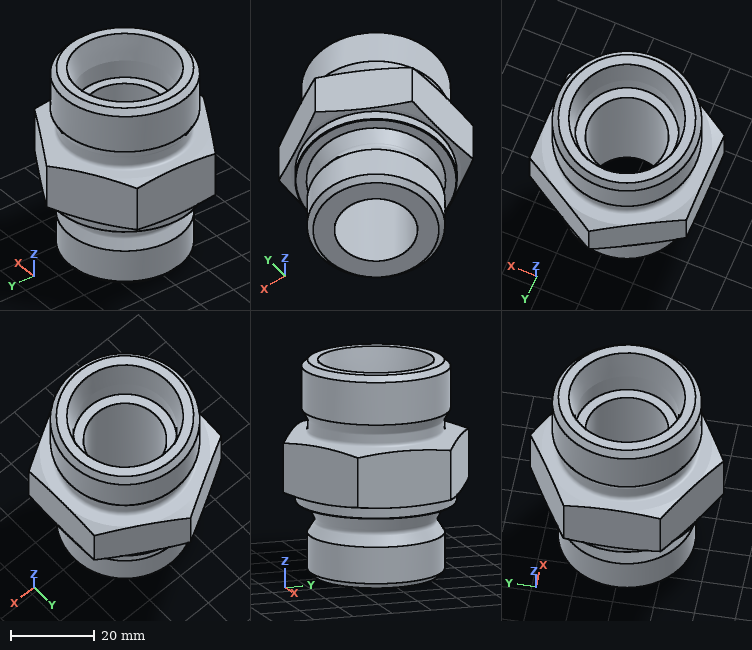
import cadquery as cq
import math

TOTAL_HEIGHT = 53.0
HEX_BOTTOM = 21.05
HEX_HEIGHT = 13.95
HEX_TOP = HEX_BOTTOM + HEX_HEIGHT

ACROSS_FLATS = 41.0
ACROSS_CORNERS = ACROSS_FLATS / math.cos(math.radians(30))
HEX_CHAMFER_ANGLE = 15.0

END_CHAMFER = 1.5
LOWER_RADIUS = 33.25 / 2
LOWER_END_TOP = 10.5
UPPER_RADIUS = 36.0 / 2
UPPER_END_BOTTOM = 41.0

COLLAR_RADIUS = 39.0 / 2
COLLAR_BOTTOM = 18.1
COLLAR_EDGE_CHAMFER = 0.2
GROOVE_TOP_RADIUS = 16.75
GROOVE_RADIUS = 14.85
GROOVE_ARC_BOTTOM = 12.9
GROOVE_ARC_TOP = 14.4
GROOVE_ARC_DEPTH = 0.25

NECK_RADIUS = 33.0 / 2
NECK_CONE_ANGLE = math.radians(30)
NECK_CONE_BOTTOM = UPPER_END_BOTTOM - (UPPER_RADIUS - NECK_RADIUS) / math.tan(NECK_CONE_ANGLE)
NECK_CONE_FILLET = 0.85
NECK_FILLET = 1.2

BORE_RADIUS = 20.0 / 2
SOCKET_RADIUS = 25.0 / 2
SOCKET_DEPTH = 12.0
MOUTH_RADIUS = 28.0 / 2
MOUTH_HALF_ANGLE = 12.0
MOUTH_DEPTH = (MOUTH_RADIUS - SOCKET_RADIUS) / math.tan(math.radians(MOUTH_HALF_ANGLE))


def revolve_z(profile):
    """Revolve a closed radius-height profile about the Z axis."""
    return profile.close().revolve(360, (0, 0, 0), (0, 1, 0))


def make_lower_end():
    """Threaded end, rounded groove and collar below the hexagon."""
    groove_middle = (GROOVE_ARC_BOTTOM + GROOVE_ARC_TOP) / 2
    arc_edge_radius = GROOVE_RADIUS + GROOVE_ARC_DEPTH
    return revolve_z(
        cq.Workplane("XZ")
        .lineTo(LOWER_RADIUS - END_CHAMFER, 0)
        .lineTo(LOWER_RADIUS, END_CHAMFER)
        .lineTo(LOWER_RADIUS, LOWER_END_TOP)
        .lineTo(arc_edge_radius, GROOVE_ARC_BOTTOM)
        .threePointArc((GROOVE_RADIUS, groove_middle), (arc_edge_radius, GROOVE_ARC_TOP))
        .lineTo(GROOVE_TOP_RADIUS, COLLAR_BOTTOM)
        .lineTo(COLLAR_RADIUS - COLLAR_EDGE_CHAMFER, COLLAR_BOTTOM)
        .lineTo(COLLAR_RADIUS, COLLAR_BOTTOM + COLLAR_EDGE_CHAMFER)
        .lineTo(COLLAR_RADIUS, HEX_BOTTOM)
        .lineTo(0, HEX_BOTTOM)
    )


def make_hexagon():
    """Hexagon with corners on Y, its ends turned to a shallow cone."""
    prism = (
        cq.Workplane("XY", origin=(0, 0, HEX_BOTTOM))
        .transformed(rotate=(0, 0, 90))
        .polygon(6, ACROSS_CORNERS)
        .extrude(HEX_HEIGHT)
    )
    flat_radius = ACROSS_FLATS / 2
    corner_radius = ACROSS_CORNERS / 2
    corner_drop = (corner_radius - flat_radius) * math.tan(math.radians(HEX_CHAMFER_ANGLE))
    envelope = revolve_z(
        cq.Workplane("XZ")
        .moveTo(0, HEX_BOTTOM)
        .lineTo(flat_radius, HEX_BOTTOM)
        .lineTo(corner_radius, HEX_BOTTOM + corner_drop)
        .lineTo(corner_radius, HEX_TOP - corner_drop)
        .lineTo(flat_radius, HEX_TOP)
        .lineTo(0, HEX_TOP)
    )
    return prism.intersect(envelope)


def make_upper_end():
    """Filleted neck and threaded end above the hexagon."""
    setback = NECK_CONE_FILLET * math.tan(NECK_CONE_ANGLE / 2)
    cone_tangent_point = (
        NECK_RADIUS + setback * math.sin(NECK_CONE_ANGLE),
        NECK_CONE_BOTTOM + setback * math.cos(NECK_CONE_ANGLE),
    )
    return revolve_z(
        cq.Workplane("XZ")
        .moveTo(0, HEX_TOP)
        .lineTo(NECK_RADIUS + NECK_FILLET, HEX_TOP)
        .radiusArc((NECK_RADIUS, HEX_TOP + NECK_FILLET), NECK_FILLET)
        .lineTo(NECK_RADIUS, NECK_CONE_BOTTOM - setback)
        .tangentArcPoint(cone_tangent_point, relative=False)
        .lineTo(UPPER_RADIUS, UPPER_END_BOTTOM)
        .lineTo(UPPER_RADIUS, TOTAL_HEIGHT - END_CHAMFER)
        .lineTo(UPPER_RADIUS - END_CHAMFER, TOTAL_HEIGHT)
        .lineTo(0, TOTAL_HEIGHT)
    )


def make_bore():
    """Through bore, stepped to a socket with a conical mouth at the top."""
    return revolve_z(
        cq.Workplane("XZ")
        .lineTo(BORE_RADIUS, 0)
        .lineTo(BORE_RADIUS, TOTAL_HEIGHT - SOCKET_DEPTH)
        .lineTo(SOCKET_RADIUS, TOTAL_HEIGHT - SOCKET_DEPTH)
        .lineTo(SOCKET_RADIUS, TOTAL_HEIGHT - MOUTH_DEPTH)
        .lineTo(MOUTH_RADIUS, TOTAL_HEIGHT)
        .lineTo(0, TOTAL_HEIGHT)
    )


body = make_lower_end().union(make_hexagon()).union(make_upper_end())
result = body.cut(make_bore())